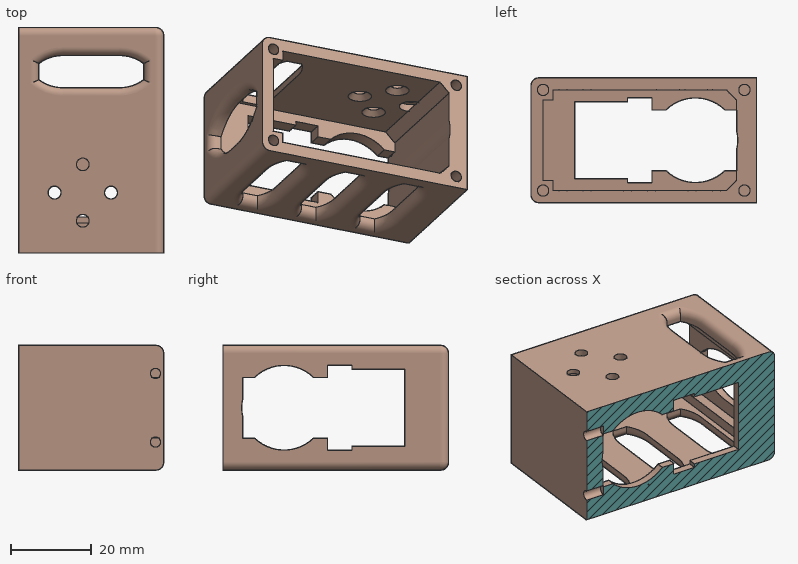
import cadquery as cq
import math

LENGTH_X = 36.0
LENGTH_Y = 56.0
HEIGHT = 31.0
EDGE_RADIUS = 2.0
MID_Z = HEIGHT / 2

INTO_RIM = (1, 0, 0)
INTO_FRONT = (0, 1, 0)
DOWN = (0, 0, -1)

WALL = 3.0
FRONT_WALL = 5.0
PANEL_THICKNESS = 4.0
CORNER_STEP = 2.5
CAVITY_DEPTH = LENGTH_X - PANEL_THICKNESS

NECK_END_Y = 26.0
COLLAR_END_Y = 32.0
OPENING_END_Y = 45.1
PANEL_OPENINGS = [
    (FRONT_WALL, NECK_END_Y, 15.0),
    (NECK_END_Y, COLLAR_END_Y, 21.0),
    (COLLAR_END_Y, OPENING_END_Y, 19.05),
]
SOCKET_Y = 15.2
SOCKET_RADIUS = 10.5

SLOT_MOUTH_LENGTH = 30.0
SLOT_MOUTH_WIDTH = 12.0
BACK_SLOT_MOUTH_WIDTH = 17.0
SLOT_OVAL_LENGTH = 38.0
SLOT_FLARE = 2.0
SLOT_X = LENGTH_X / 2
SLOT_PITCH = 16.0
FIRST_SLOT_Y = 45.0
FLOOR_SLOT_COUNT = 3

DIAMOND_X = 15.9
DIAMOND_Y = 15.0
DIAMOND_RADIUS = 7.0
ROOF_HOLE_DIAMETER = 3.15
SINK_START = 1.7
BORE_START = 1.2
BORE_DIAMETER = 5.8

RIM_HOLE_DIAMETER = 2.8
RIM_HOLE_INSET = 3.0
RIM_HOLE_DEPTH = 10.0

FRONT_HOLE_DIAMETER = 2.5
FRONT_HOLE_X = 33.95
FRONT_HOLE_INSET = 7.0


def block(start, end):
    """Box between two opposite corners."""
    size = [b - a for a, b in zip(start, end)]
    return cq.Workplane("XY").box(*size, centered=False).translate(start)


def cylinder(diameter, length, start, direction):
    """Cylinder running from a start point along a direction."""
    solid = cq.Solid.makeCylinder(diameter / 2, length, cq.Vector(*start), cq.Vector(*direction))
    return cq.Workplane(solid)


def make_body():
    """Box with rounded edges between the +X, +Y, top and bottom faces."""
    box = block((0, 0, 0), (LENGTH_X, LENGTH_Y, HEIGHT))
    return box.edges("(>X and (>Z or <Z)) or (>Y and (>Z or <Z)) or (>X and >Y)").fillet(EDGE_RADIUS)


def make_cavity():
    """Hollow with square steps in its +Y corners and chamfers in its -Y corners."""
    low = WALL
    high = HEIGHT - WALL
    back = LENGTH_Y - WALL
    outline = [
        (FRONT_WALL + CORNER_STEP, low),
        (back - CORNER_STEP, low),
        (back - CORNER_STEP, low + CORNER_STEP),
        (back, low + CORNER_STEP),
        (back, high - CORNER_STEP),
        (back - CORNER_STEP, high - CORNER_STEP),
        (back - CORNER_STEP, high),
        (FRONT_WALL + CORNER_STEP, high),
        (FRONT_WALL, high - CORNER_STEP),
        (FRONT_WALL, low + CORNER_STEP),
    ]
    return cq.Workplane("YZ").polyline(outline).close().extrude(CAVITY_DEPTH)


def make_panel_opening():
    """Stepped opening in the panel and a round socket bore that also grazes the -Y wall."""
    cutter = cylinder(2 * SOCKET_RADIUS, LENGTH_X, (0, SOCKET_Y, MID_Z), INTO_RIM)
    for y_start, y_end, width in PANEL_OPENINGS:
        start = (CAVITY_DEPTH, y_start, MID_Z - width / 2)
        end = (LENGTH_X, y_end, MID_Z + width / 2)
        cutter = cutter.union(block(start, end))
    return cutter


def slot_cutter(origin, outward, mouth_width):
    """Slot through one wall, centred at an origin on its outer face.

    A long oval with end arcs as large in radius as its width, cut off square at both ends.
    """
    outer_face = cq.Plane(origin=origin, xDir=(1, 0, 0), normal=outward)
    arc_centre_x = SLOT_OVAL_LENGTH / 2 - mouth_width
    arc_radius = mouth_width - SLOT_FLARE
    side_y = mouth_width / 2 - SLOT_FLARE
    end_x = SLOT_MOUTH_LENGTH / 2 - SLOT_FLARE
    end_y = math.sqrt(arc_radius**2 - (end_x - arc_centre_x) ** 2) - arc_radius + side_y
    return (
        cq.Workplane(outer_face)
        .moveTo(-arc_centre_x, -side_y)
        .lineTo(arc_centre_x, -side_y)
        .radiusArc((end_x, -end_y), -arc_radius)
        .lineTo(end_x, end_y)
        .radiusArc((arc_centre_x, side_y), -arc_radius)
        .lineTo(-arc_centre_x, side_y)
        .radiusArc((-end_x, end_y), -arc_radius)
        .lineTo(-end_x, -end_y)
        .radiusArc((-arc_centre_x, -side_y), -arc_radius)
        .close()
        .extrude(-WALL)
    )


def cut_slot(body, origin, outward, mouth_width=SLOT_MOUTH_WIDTH):
    """Cut one slot through a wall and round its rim on the outer face."""
    slotted = body.cut(slot_cutter(origin, outward, mouth_width))
    face = slotted.faces(cq.selectors.DirectionMinMaxSelector(cq.Vector(*outward)))
    rim = min(face.val().innerWires(), key=lambda wire: (wire.Center() - cq.Vector(*origin)).Length)
    return slotted.newObject(rim.Edges()).fillet(SLOT_FLARE)


def drill_roof(body):
    """Drill the diamond: the -Y hole is counterbored from inside, the others are countersunk."""
    for step_x, step_y in ((1, 0), (0, 1), (-1, 0), (0, -1)):
        x = DIAMOND_X + step_x * DIAMOND_RADIUS
        y = DIAMOND_Y + step_y * DIAMOND_RADIUS
        body = body.cut(cylinder(ROOF_HOLE_DIAMETER, WALL, (x, y, HEIGHT), DOWN))
        if step_y < 0:
            recess = cylinder(BORE_DIAMETER, WALL - BORE_START, (x, y, HEIGHT - BORE_START), DOWN)
        else:
            recess = make_countersink(x, y)
        body = body.cut(recess)
    return body


def make_countersink(x, y):
    """Cone at 45 degrees that widens downward to the underside of the roof."""
    top_radius = ROOF_HOLE_DIAMETER / 2
    depth = WALL - SINK_START
    start = cq.Vector(x, y, HEIGHT - SINK_START)
    cone = cq.Solid.makeCone(top_radius, top_radius + depth, depth, start, cq.Vector(*DOWN))
    return cq.Workplane(cone)


def drill_screw_holes(body):
    """Drill the four corner holes of the -X rim and the two holes of the -Y wall."""
    for y in (RIM_HOLE_INSET, LENGTH_Y - RIM_HOLE_INSET):
        for z in (RIM_HOLE_INSET, HEIGHT - RIM_HOLE_INSET):
            body = body.cut(cylinder(RIM_HOLE_DIAMETER, RIM_HOLE_DEPTH, (0, y, z), INTO_RIM))
    for z in (FRONT_HOLE_INSET, HEIGHT - FRONT_HOLE_INSET):
        body = body.cut(cylinder(FRONT_HOLE_DIAMETER, FRONT_WALL, (FRONT_HOLE_X, 0, z), INTO_FRONT))
    return body


result = make_body().cut(make_cavity()).cut(make_panel_opening())
result = cut_slot(result, (SLOT_X, FIRST_SLOT_Y, HEIGHT), (0, 0, 1))
result = cut_slot(result, (SLOT_X, LENGTH_Y, MID_Z), (0, 1, 0), BACK_SLOT_MOUTH_WIDTH)
for index in range(FLOOR_SLOT_COUNT):
    result = cut_slot(result, (SLOT_X, FIRST_SLOT_Y - index * SLOT_PITCH, 0), DOWN)
result = drill_roof(result)
result = drill_screw_holes(result)